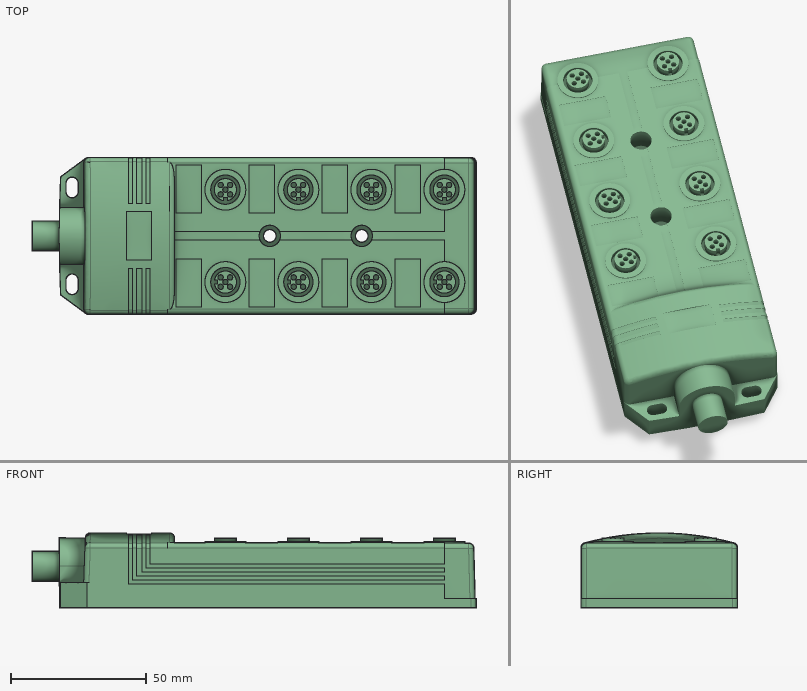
import cadquery as cq
import math


length = 164.1
width = 58.0
inlay_depth = 0.2
deck_height = 24.1
crown_height = 27.7
hood_edge_height = 23.6
hood_end = 52.7
hood_overlap = 2.6
housing_start = 18.7
housing_end = 164.0
near_draft = 2.0
far_draft = 1.5
edge_radius = 2.0
corner_radius = 2.0

foot_height = 3.5
foot_length = 16.4

flange_height = 9.4
flange_front_x = 10.0
flange_corner_x = 10.5
flange_corner_y = 21.8
flange_root_x = 20.2
flange_overlap = 6.5
slot_x = 14.8
slot_y = 17.9
slot_length = 7.5
slot_width = 4.5

cable_radius = 5.5
cable_height = 15.5
collar_end = 21.0
collar_radius = 10.5

cap_start = 152.3
centre_stripe_width = 3.1
stripe_width = 1.5
middle_stripe_width = 2.0
stripe_gap = 1.5
stripe_centre_x = 39.5
stripe_pitch_z = 3.0
stripe_centre_z = 12.5
stripe_inner_y = 12.0

hood_label_length = 9.2
hood_label_width = 17.9
hood_label_floor = 27.2
label_length = 9.4
label_width = 17.7
label_y = 17.4

socket_count = 4
first_socket_x = 71.4
socket_y = 17.0
ring_radius = 7.5
ring_height = 0.5
well_radius = 5.4
well_depth = 2.5
barrel_radius = 4.1
barrel_height = 1.6
contact_circle_radius = 2.5
contact_radius = 1.0
contact_depth = 3.3
key_width = 1.5
key_depth = 1.1

fixing_hole_xs = (87.8, 121.8)
fixing_hole_radius = 2.3
counterbore_radius = 4.0
counterbore_depth = 9.8

near_slope = math.tan(math.radians(near_draft))
far_slope = math.tan(math.radians(far_draft))
socket_pitch = (cap_start - first_socket_x) / (socket_count - 1)
socket_xs = [first_socket_x + i * socket_pitch for i in range(socket_count)]
stripe_pitch_x = (stripe_width + middle_stripe_width) / 2 + stripe_gap
contact_offset = contact_circle_radius / math.sqrt(2)


def block(x0, x1, y0, y1, z0, z1):
    """Box between two opposite corners."""
    return cq.Workplane("XY").box(x1 - x0, y1 - y0, z1 - z0, centered=False).translate((x0, y0, z0))


def post(x, y, radius, z0, z1):
    """Upright cylinder from z0 to z1."""
    return cq.Workplane("XY", origin=(x, y, z0)).circle(radius).extrude(z1 - z0)


def side_profile(points, half_width):
    """Closed outline in the XZ plane, spread evenly to both sides of the centre plane."""
    return cq.Workplane("XZ").polyline(points).close().extrude(half_width, both=True)


def make_hood(inset):
    """Arched hood, with its outer faces moved in by inset."""
    half_width = width / 2 - inset
    edge = hood_edge_height - inset
    crown = crown_height - inset
    arch = (
        cq.Workplane("YZ")
        .moveTo(-half_width, 0)
        .lineTo(-half_width, edge)
        .threePointArc((0, crown), (half_width, edge))
        .lineTo(half_width, 0)
        .close()
        .extrude(length)
    )
    envelope = side_profile(
        [
            (housing_start, 0),
            (hood_end, 0),
            (hood_end, length),
            (housing_start + length * near_slope, length),
        ],
        width,
    )
    hood = arch.intersect(envelope)
    hood = hood.faces("<X").edges("not |Y").edges("%LINE").fillet(corner_radius)
    return hood.faces(">Z").edges().fillet(edge_radius)


def make_deck(inset):
    """Flat-topped part of the housing, with its outer faces moved in by inset."""
    top = deck_height - inset
    end = housing_end - inset
    start = hood_end - hood_overlap
    deck = side_profile(
        [(start, 0), (end, 0), (end - top * far_slope, top), (start, top)],
        width / 2 - inset,
    )
    deck = deck.faces(">X").edges("not |Y").fillet(corner_radius)
    return deck.faces(">Z").edges("not <X").fillet(edge_radius)


def make_housing(inset):
    return make_hood(inset).union(make_deck(inset))


def make_inlay_zones():
    """Volumes in which the housing surface is recessed: end cap, centre stripe, side stripes."""
    zones = block(cap_start, length, -width, width, foot_height, length)
    half_stripe = centre_stripe_width / 2
    zones = zones.union(block(hood_end, cap_start, -half_stripe, half_stripe, foot_height, length))
    for i in (-1, 0, 1):
        run_width = middle_stripe_width if i == 0 else stripe_width
        x0 = stripe_centre_x + i * stripe_pitch_x - run_width / 2
        z0 = stripe_centre_z + i * stripe_pitch_z - stripe_width / 2
        zones = zones.union(block(x0, cap_start, -width, width, z0, z0 + stripe_width))
        for y0, y1 in ((-width, -stripe_inner_y), (stripe_inner_y, width)):
            zones = zones.union(block(x0, x0 + run_width, y0, y1, z0, length))
    return zones


def make_foot():
    foot = block(length - foot_length, length, -width / 2, width / 2, 0, foot_height)
    return foot.edges("|Z and >X").fillet(corner_radius)


def make_flange_outline(height):
    """Tapered flange outline with a slightly bowed front, extruded to the given height."""
    root_y = width / 2
    back_x = flange_root_x + flange_overlap
    return (
        cq.Workplane("XY")
        .moveTo(flange_corner_x, -flange_corner_y)
        .threePointArc((flange_front_x, 0), (flange_corner_x, flange_corner_y))
        .lineTo(flange_root_x, root_y)
        .lineTo(back_x, root_y)
        .lineTo(back_x, -root_y)
        .lineTo(flange_root_x, -root_y)
        .close()
        .extrude(height)
    )


def make_flange():
    """Flange with its two mounting slots."""
    slots = (
        cq.Workplane("XY")
        .pushPoints([(slot_x, -slot_y), (slot_x, slot_y)])
        .slot2D(slot_length, slot_width, 90)
        .extrude(flange_height)
    )
    return make_flange_outline(flange_height).cut(slots)


def make_cable_entry():
    """Cable stub and its round-topped collar, whose front is flush with the bowed flange."""
    cable = cq.Workplane("YZ", origin=(0, 0, cable_height)).circle(cable_radius).extrude(collar_end)
    collar_top = cable_height + collar_radius
    collar = (
        cq.Workplane("YZ")
        .moveTo(-collar_radius, flange_height)
        .lineTo(-collar_radius, cable_height)
        .threePointArc((0, collar_top), (collar_radius, cable_height))
        .lineTo(collar_radius, flange_height)
        .close()
        .extrude(collar_end)
        .intersect(make_flange_outline(collar_top))
    )
    return cable.union(collar)


def make_hood_label_recess():
    """Flat-floored label recess on the crown of the hood."""
    floor = cq.Workplane("XY", origin=(stripe_centre_x, 0, hood_label_floor))
    return floor.rect(hood_label_length, hood_label_width).extrude(crown_height - hood_label_floor)


def make_deck_label_recesses():
    """Shallow rectangular label recesses beside the sockets."""
    centres = [(x - socket_pitch / 2, y) for x in socket_xs for y in (-label_y, label_y)]
    floor = cq.Workplane("XY", origin=(0, 0, deck_height - inlay_depth))
    return floor.pushPoints(centres).rect(label_length, label_width).extrude(inlay_depth)


def add_socket(body, x, y, key_angle):
    """Raised ring around a well, with a keyed barrel carrying five contact holes."""
    ring_top = deck_height + ring_height
    barrel_top = deck_height + barrel_height
    well_floor = ring_top - well_depth
    body = body.union(post(x, y, ring_radius, well_floor, ring_top))
    body = body.cut(post(x, y, well_radius, well_floor, ring_top))

    barrel = post(x, y, barrel_radius, well_floor / 2, barrel_top)
    key = block(
        x + barrel_radius - key_depth,
        x + well_radius,
        y - key_width / 2,
        y + key_width / 2,
        well_floor,
        barrel_top,
    )
    barrel = barrel.cut(key.rotate((x, y, 0), (x, y, 1), key_angle))
    body = body.union(barrel)

    contacts = [(0, 0)] + [(i * contact_offset, j * contact_offset) for i in (-1, 1) for j in (-1, 1)]
    for dx, dy in contacts:
        body = body.cut(post(x + dx, y + dy, contact_radius, barrel_top - contact_depth, barrel_top))
    return body


result = make_housing(0).cut(make_inlay_zones()).union(make_housing(inlay_depth))
result = result.cut(make_deck_label_recesses()).cut(make_hood_label_recess())

result = result.cut(block(0, flange_root_x, -width, width, 0, flange_height))
result = result.union(make_flange()).union(make_cable_entry()).union(make_foot())

for socket_x in socket_xs:
    result = add_socket(result, socket_x, socket_y, -90)
    result = add_socket(result, socket_x, -socket_y, 180)

for hole_x in fixing_hole_xs:
    result = result.cut(post(hole_x, 0, fixing_hole_radius, 0, deck_height))
    result = result.cut(post(hole_x, 0, counterbore_radius, deck_height - counterbore_depth, deck_height))